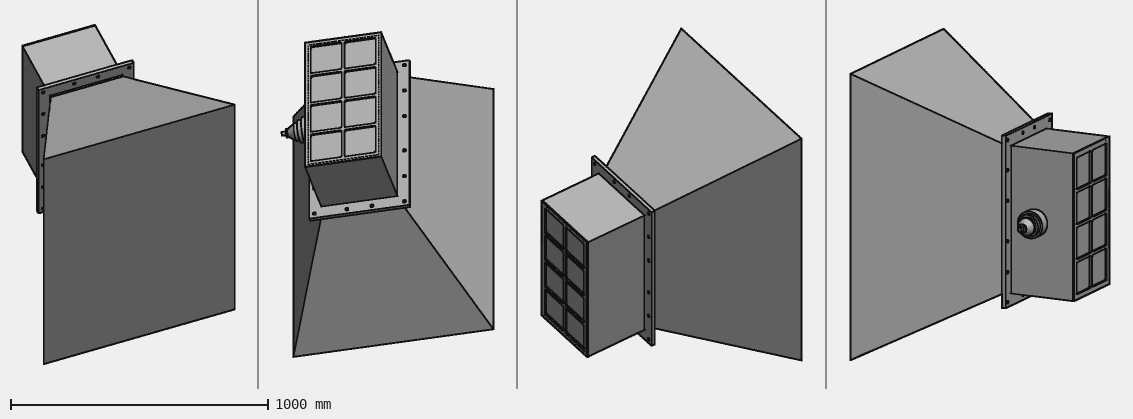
import cadquery as cq


guide_width = 305.0
guide_height = 593.0
throat_x = 300.0

plate_thickness = 5.0
plug_depth = 3.0
plug_inset = 12.0
window_columns = 2
window_rows = 4
window_width = 124.0
window_height = 129.0
window_gap = 12.0
window_corner_radius = 7.0

flange_x = 275.0
flange_thickness = 16.0
flange_width = 399.0
flange_height = 692.0
bolt_diameter = 12.0
bolt_column_spacing = 360.0
bolt_row_spacing = 651.0
bolt_inner_spacing = 100.0
bolt_side_z = (82.0, 205.0)

overall_length = 850.0
mouth_width = 800.0
mouth_height = 1150.0

connector_x = 170.0
connector_steps = ((54.0, 44.0), (45.0, 62.0), (36.0, 77.0))
cone_top_radius = 16.0
cone_top = 107.0
collar_radius = 17.0
collar_top = 114.0
tip_radius = 8.0
tip_top = 132.0


def block(x_start, length, width, height):
    """Box centred on the X axis, starting at x_start."""
    return cq.Workplane("YZ", origin=(x_start, 0, 0)).rect(width, height).extrude(length)


def make_plug():
    """Inner part of the rear plate, also the shape of its seat in the waveguide."""
    return block(plate_thickness, plug_depth, guide_width - 2 * plug_inset, guide_height - 2 * plug_inset)


def make_waveguide():
    """Waveguide section up to the flare, with a seat for the plug of the rear plate."""
    body = block(plate_thickness, throat_x - plate_thickness, guide_width, guide_height)
    return body.cut(make_plug())


def make_rear_plate():
    """End plate with its plug, pierced by a grid of rounded windows."""
    windows = (
        cq.Workplane("YZ")
        .rarray(window_width + window_gap, window_height + window_gap, window_columns, window_rows)
        .rect(window_width, window_height)
        .extrude(plate_thickness + plug_depth)
        .edges("|X")
        .fillet(window_corner_radius)
    )
    return block(0, plate_thickness, guide_width, guide_height).union(make_plug()).cut(windows)


def bolt_points():
    """(Y, Z) centres of the flange bolts, mirrored about both axes."""
    column_y = bolt_column_spacing / 2
    row_z = bolt_row_spacing / 2
    quadrant = [(column_y, row_z), (bolt_inner_spacing / 2, row_z)]
    quadrant += [(column_y, z) for z in bolt_side_z]
    return [(side * y, end * z) for y, z in quadrant for side in (-1, 1) for end in (-1, 1)]


def make_flange():
    """Flat ring around the waveguide with through bolt holes."""
    ring = block(flange_x, flange_thickness, flange_width, flange_height)
    opening = block(flange_x, flange_thickness, guide_width, guide_height)
    bolts = (
        cq.Workplane("YZ", origin=(flange_x, 0, 0))
        .pushPoints(bolt_points())
        .circle(bolt_diameter / 2)
        .extrude(flange_thickness)
    )
    return ring.cut(opening).cut(bolts)


def make_horn():
    """Pyramidal flare from the waveguide section to the mouth."""
    return (
        cq.Workplane("YZ", origin=(throat_x, 0, 0))
        .rect(guide_width, guide_height)
        .workplane(offset=overall_length - throat_x)
        .rect(mouth_width, mouth_height)
        .loft(ruled=True)
    )


def make_connector():
    """Stepped connector, cone, collar and tip turned about an axis along Y."""
    wall_y = guide_width / 2
    profile = cq.Workplane("ZY", origin=(connector_x, wall_y, 0)).moveTo(0, 0)
    base = 0
    for radius, top in connector_steps:
        profile = profile.lineTo(radius, base).lineTo(radius, top)
        base = top
    return (
        profile
        .lineTo(cone_top_radius, cone_top)
        .lineTo(collar_radius, cone_top)
        .lineTo(collar_radius, collar_top)
        .lineTo(tip_radius, collar_top)
        .lineTo(tip_radius, tip_top)
        .lineTo(0, tip_top)
        .close()
        .revolve(360, (0, 0, 0), (0, 1, 0))
    )


waveguide = make_waveguide()
rear_plate = make_rear_plate()
flange = make_flange()
horn = make_horn()
connector = make_connector()

result = cq.Compound.makeCompound(
    [waveguide.val(), rear_plate.val(), flange.val(), horn.val(), connector.val()]
)